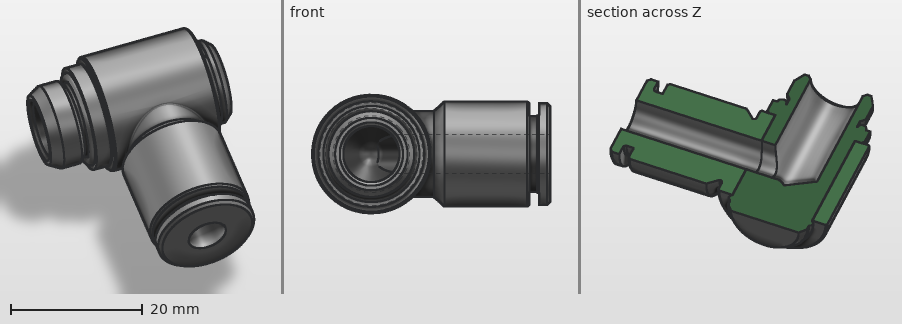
import cadquery as cq
import math


barrel_radius = 9.0
barrel_half_length = 8.5
barrel_chamfer = 0.25
shank_radius = 6.5

total_length = 36.15
arm_end_x = total_length - barrel_radius
arm_neck_radius = 6.55
arm_neck_end_x = 9.47
arm_radius = 8.0
arm_shoulder_x = 11.05
arm_face_x = 23.95
arm_face_chamfer = 0.33
collet_neck_radius = 5.8
collet_flare = 0.18
collet_flare_x = 25.1
collet_flange_x = 25.45
collet_flange_radius = 7.75
collet_chamfer = 0.5
saddle_fillet = 0.3
port_radius = 2.982

stem_length = 29.0
stem_tip_y = -17.55
head_end_y = stem_tip_y + stem_length
head_end_radius = 5.55
head_chamfer_y = 10.38
clip_outer_radius = 6.95
clip_half_width = 0.55
clip_inner_radius = clip_outer_radius - 2 * clip_half_width
clip_gap = 0.45

spacer_radius = 7.8
collar_radius = 8.03
collar_top_y = -8.7
collar_bottom_y = -11.05
seal_outer_radius = 7.3
plug_neck_radius = 5.82
seal_section_radius = (seal_outer_radius - plug_neck_radius) / 2
plug_neck_end_y = -12.22
plug_radius = 6.5
plug_top_y = plug_neck_end_y - (plug_radius - plug_neck_radius)
plug_taper_y = -15.75
plug_tip_radius = 5.5

bore_radius = 4.25
bore_mouth_chamfer = 0.55
drill_tip_angle = 118.0
drill_tip_y = 3.65
bore_shoulder_y = drill_tip_y - bore_radius / math.tan(math.radians(drill_tip_angle / 2))


def turned_about_y(profile):
    """Revolve a closed (radius, y) profile about the stem axis."""
    return profile.close().revolve(360, (0, 0, 0), (0, 1, 0))


def cylinder_along_x(radius, length):
    """Cylinder that starts at the stem axis and runs toward +X."""
    return cq.Workplane("YZ").circle(radius).extrude(length)


def make_arm_end():
    """Push-in socket and release collar, joined to the arm neck."""
    profile = cq.Workplane("XY").polyline([
        (arm_neck_end_x, 0),
        (arm_neck_end_x, arm_neck_radius),
        (arm_shoulder_x, arm_radius),
        (arm_face_x - arm_face_chamfer, arm_radius),
        (arm_face_x, arm_radius - arm_face_chamfer),
        (arm_face_x, collet_neck_radius),
        (collet_flare_x, collet_neck_radius),
        (collet_flange_x, collet_neck_radius + collet_flare),
        (collet_flange_x, collet_flange_radius),
        (arm_end_x - collet_chamfer, collet_flange_radius),
        (arm_end_x, collet_flange_radius - collet_chamfer),
        (arm_end_x, 0),
    ])
    return profile.close().revolve(360, (0, 0, 0), (1, 0, 0))


def make_housing():
    barrel = (
        cq.Workplane("XZ")
        .circle(barrel_radius)
        .extrude(barrel_half_length, both=True)
        .faces("<Y or >Y")
        .chamfer(barrel_chamfer)
    )
    neck = cylinder_along_x(arm_neck_radius, arm_neck_end_x)
    saddle_zone = cq.selectors.BoxSelector(
        (0, -arm_neck_radius - 0.35, -arm_neck_radius - 0.35),
        (barrel_radius, arm_neck_radius + 0.35, arm_neck_radius + 0.35),
    )
    body = barrel.union(neck).edges(saddle_zone).fillet(saddle_fillet)
    body = body.union(make_arm_end())
    shank_hole = cq.Workplane("XZ").circle(shank_radius).extrude(barrel_half_length, both=True)
    return body.cut(shank_hole).cut(cylinder_along_x(port_radius, arm_end_x))


def make_stem_blank():
    return turned_about_y(cq.Workplane("XY").polyline([
        (0, head_end_y),
        (head_end_radius, head_end_y),
        (shank_radius, head_chamfer_y),
        (shank_radius, -barrel_half_length),
        (spacer_radius, -barrel_half_length),
        (spacer_radius, collar_top_y),
        (collar_radius, collar_top_y),
        (collar_radius, collar_bottom_y),
        (plug_neck_radius, collar_bottom_y),
        (plug_neck_radius, plug_neck_end_y),
        (plug_radius, plug_top_y),
        (plug_radius, plug_taper_y),
        (plug_tip_radius, stem_tip_y),
        (0, stem_tip_y),
    ]))


def make_clip():
    """Round-edged retaining ring resting on the barrel, split at +Z."""
    middle_y = barrel_half_length + clip_half_width
    straight_end = clip_outer_radius - clip_half_width
    ring = turned_about_y(
        cq.Workplane("XY")
        .moveTo(clip_inner_radius, barrel_half_length)
        .lineTo(straight_end, barrel_half_length)
        .threePointArc((clip_outer_radius, middle_y), (straight_end, middle_y + clip_half_width))
        .lineTo(clip_inner_radius, middle_y + clip_half_width)
    )
    split = cq.Workplane("XY").box(
        clip_gap, 2 * clip_half_width, clip_outer_radius, centered=(True, True, False)
    ).translate((0, middle_y, 0))
    return ring.cut(split)


def make_seal():
    """Half-exposed round seal bead under the collar."""
    center_radius = seal_outer_radius - seal_section_radius
    return turned_about_y(
        cq.Workplane("XY")
        .moveTo(plug_neck_radius, collar_bottom_y)
        .threePointArc(
            (center_radius, collar_bottom_y - seal_section_radius),
            (seal_outer_radius, collar_bottom_y),
        )
    )


def make_stem_bore():
    return turned_about_y(cq.Workplane("XY").polyline([
        (0, stem_tip_y),
        (bore_radius + bore_mouth_chamfer, stem_tip_y),
        (bore_radius, stem_tip_y + bore_mouth_chamfer),
        (bore_radius, bore_shoulder_y),
        (0, drill_tip_y),
    ]))


def make_stem():
    stem = make_stem_blank().union(make_clip()).union(make_seal())
    return stem.cut(make_stem_bore()).cut(cylinder_along_x(port_radius, shank_radius))


housing = make_housing()
stem = make_stem()
result = cq.Compound.makeCompound([housing.val(), stem.val()])